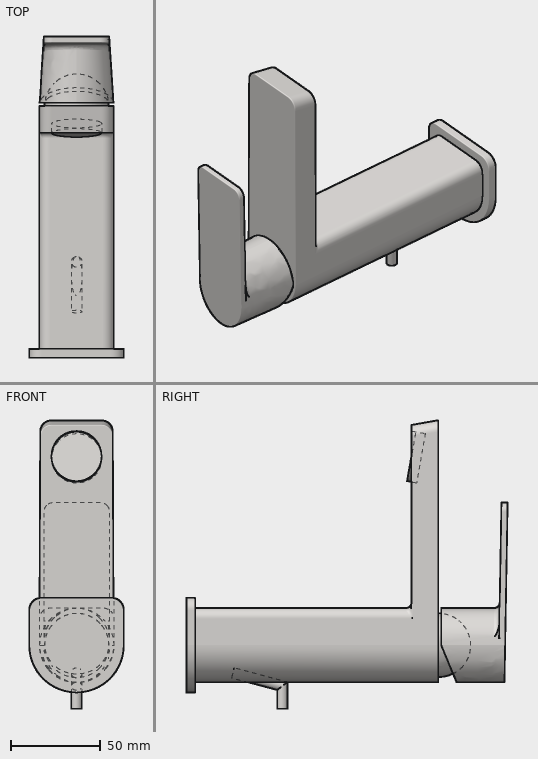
import cadquery as cq
import math

overall_length = 180.5
edge_round = 0.5

plate_width = 53.2
plate_radius = plate_width / 2
plate_thickness = 5.0
plate_corner = 6.9

bar_radius = 21.0
bar_corner = 6.0
riser_front = 126.3
riser_back = 141.5
riser_depth = riser_back - riser_front
riser_top = 126.3
riser_top_half_width = 20.4
bar_top_half_width = bar_radius - (bar_radius - riser_top_half_width) * bar_radius / riser_top
riser_corner = 6.3
bend_fillet = 2.9
spout_tilt = 10.0

aerator_radius = 14.0
aerator_thickness = 5.5
aerator_height = 106.0

dome_radius = 18.0

barrel_front = 143.1
barrel_chin = 151.8
lever_half_width = 18.5
lever_thickness = 3.6
lever_top = 80.1
lever_lean = 1.0
lever_corner = 5.0
lever_fillet = 2.9
lever_slope = math.tan(math.radians(lever_lean))
lever_tip_back = overall_length + edge_round * lever_slope

rod_diameter = 6.0
rod_radius = rod_diameter / 2
rod_y = 54.0
rod_bend_z = -23.0
rod_bottom = -35.7
rod_rise_angle = 15.0
rod_rise_length = 28.9


def arch_section(radius, upper_half_width, corner, start, length):
    """Extruded outline with a half-round bottom, flat sides and two rounded upper corners."""
    return (
        cq.Workplane("XZ", origin=(0, start, 0))
        .moveTo(-radius, 0)
        .threePointArc((0, -radius), (radius, 0))
        .lineTo(upper_half_width, radius)
        .lineTo(-upper_half_width, radius)
        .close()
        .extrude(-length)
        .edges("|Y and >Z")
        .fillet(corner)
    )


def side_prism(outline, half_width):
    """Symmetric prism across X from an outline of (y, z) points."""
    return cq.Workplane("YZ").polyline(outline).close().extrude(half_width, both=True)


def make_plate():
    plate = arch_section(plate_radius, plate_radius, plate_corner, 0, plate_thickness)
    return plate.faces(">Y").edges().fillet(edge_round)


def make_riser():
    """Upright slab whose sides taper toward a sloping, round-cornered top."""
    slab = (
        cq.Workplane("XZ", origin=(0, riser_front, 0))
        .polyline([
            (-bar_radius, 0),
            (bar_radius, 0),
            (riser_top_half_width, riser_top),
            (-riser_top_half_width, riser_top),
        ])
        .close()
        .extrude(-riser_depth)
    )
    top_drop = riser_depth * math.tan(math.radians(spout_tilt))
    wedge_outline = [
        (riser_front, riser_top - top_drop),
        (riser_back, riser_top),
        (riser_front, riser_top),
    ]
    slab = slab.cut(side_prism(wedge_outline, bar_radius))
    corner_height = riser_top - top_drop / 2
    for side in (-1, 1):
        corner_point = (side * riser_top_half_width, (riser_front + riser_back) / 2, corner_height)
        slab = slab.edges(cq.NearestToPointSelector(corner_point)).fillet(riser_corner)
    return slab.faces("<Y").edges("not <Z").fillet(edge_round)


def make_body():
    """Bar and riser joined by a filleted bend, with the far outline rounded."""
    bar_length = riser_back - plate_thickness
    bar = arch_section(bar_radius, bar_top_half_width, bar_corner, plate_thickness, bar_length)
    body = bar.union(make_riser())
    bend_edge = cq.NearestToPointSelector((0, riser_front, bar_radius))
    body = body.edges(bend_edge).fillet(bend_fillet)
    return body.faces(">Y").edges().fillet(edge_round)


def tilted_disc(outer_offset):
    """Disc along the aerator axis; its outer face lies outer_offset in front of the aerator face."""
    tilt = math.radians(spout_tilt)
    inward = cq.Vector(0, math.cos(tilt), -math.sin(tilt))
    outer_center = cq.Vector(0, riser_front, aerator_height) - inward * outer_offset
    length = aerator_thickness + outer_offset
    return cq.Workplane(cq.Solid.makeCylinder(aerator_radius, length, outer_center, inward))


def make_aerator():
    """Disc whose tilted outer face crosses the front of the riser through the disc center."""
    return tilted_disc(0)


def make_aerator_recess():
    """Bore for the aerator, open to the front above the disc."""
    return tilted_disc(aerator_thickness)


def make_dome():
    """Half ball resting on the far face of the body."""
    ball = cq.Workplane("XY", origin=(0, riser_back, 0)).sphere(dome_radius)
    back_half = (
        cq.Workplane("XZ", origin=(0, riser_back, 0))
        .rect(2 * dome_radius, 2 * dome_radius)
        .extrude(-dome_radius)
    )
    return ball.intersect(back_half)


def lever_back_y(height):
    """Y of the leaning back face at a given height."""
    return lever_tip_back - (lever_top - height) * lever_slope


def lever_front_y(height):
    return lever_back_y(height) - lever_thickness


def make_barrel():
    """Round at the front, narrowing to an ellipse as wide as the lever, with an undercut chin."""
    tapered = (
        cq.Workplane("XZ", origin=(0, riser_back, 0))
        .circle(bar_radius)
        .workplane(offset=-(overall_length - riser_back))
        .ellipse(lever_half_width, bar_radius)
        .loft(ruled=True)
    )
    side_outline = [
        (barrel_chin, -bar_radius),
        (barrel_front, 0),
        (barrel_front, bar_radius),
        (lever_back_y(bar_radius), bar_radius),
        (lever_back_y(-bar_radius), -bar_radius),
    ]
    return tapered.intersect(side_prism(side_outline, bar_radius))


def lever_outline(bottom, top):
    """Side outline of the lever between two heights."""
    return [
        (lever_front_y(bottom), bottom),
        (lever_back_y(bottom), bottom),
        (lever_back_y(top), top),
        (lever_front_y(top), top),
    ]


def make_lever():
    """Leaning plate with rounded upper corners and a softened front outline."""
    lever = side_prism(lever_outline(0, lever_top), lever_half_width)
    lever = lever.faces(">Z").edges("not |X").fillet(lever_corner)
    return lever.faces("<Y").edges("not <Z").fillet(edge_round)


def make_flare(barrel):
    """Concave ring that blends the barrel into the lever, trimmed to the lever's front and sides."""
    flare_top = 2 * bar_radius
    backing = side_prism(lever_outline(-flare_top, flare_top), 2 * bar_radius)
    join_edge = cq.NearestToPointSelector((0, lever_front_y(bar_radius), bar_radius))
    blended = barrel.union(backing).edges(join_edge).fillet(lever_fillet)
    trim_outline = [
        (barrel_front, 0),
        (lever_front_y(0), 0),
        (lever_front_y(flare_top), flare_top),
        (barrel_front, flare_top),
    ]
    return blended.intersect(side_prism(trim_outline, lever_half_width))


def make_handle():
    barrel = make_barrel()
    handle = barrel.union(make_flare(barrel)).union(make_lever())
    middle_height = (lever_top - bar_radius) / 2
    back_face = cq.NearestToPointSelector((0, lever_back_y(middle_height), middle_height))
    return handle.faces(back_face).edges().fillet(edge_round)


def make_rod():
    """Upright rod with a mitred bend that rises toward the plate inside the bar."""
    rise = math.radians(rod_rise_angle)
    bend = (rod_y, rod_bend_z)
    inner_end = (
        rod_y - rod_rise_length * math.cos(rise),
        rod_bend_z + rod_rise_length * math.sin(rise),
    )
    path = cq.Workplane("YZ").moveTo(rod_y, rod_bottom).lineTo(*bend).lineTo(*inner_end)
    return (
        cq.Workplane("XY", origin=(0, rod_y, rod_bottom))
        .circle(rod_radius)
        .sweep(path, transition="right")
    )


plate = make_plate()
aerator = make_aerator()
dome = make_dome()
rod = make_rod()
body = make_body().cut(make_aerator_recess()).cut(rod)
handle = make_handle().cut(dome)

result = cq.Compound.makeCompound([
    plate.val(),
    body.val(),
    aerator.val(),
    dome.val(),
    handle.val(),
    rod.val(),
])